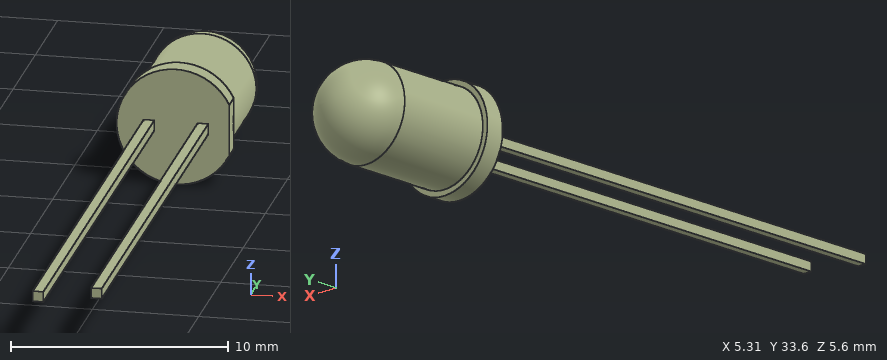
import cadquery as cq


lens_diameter = 5.0
lens_radius = lens_diameter / 2
lens_length = 8.6

flange_diameter = 5.6
flange_radius = flange_diameter / 2
flange_thickness = 1.0
flat_offset = 2.51

lead_width = 0.5
lead_pitch = 2.54
anode_length = 25.0
cathode_length = 24.0

barrel_length = lens_length - flange_thickness - lens_radius
dome_base = flange_thickness + barrel_length


def plane_at(y):
    """Plane across the lens axis at the given Y, with its normal along +Y."""
    return cq.Plane(origin=(0, y, 0), xDir=(1, 0, 0), normal=(0, 1, 0))


def make_flange():
    """Round disc with one flat on the +X side."""
    disc = cq.Workplane(plane_at(0)).circle(flange_radius).extrude(flange_thickness)
    width_to_flat = flange_radius + flat_offset
    keep = (
        cq.Workplane(plane_at(0))
        .center(flat_offset - width_to_flat / 2, 0)
        .rect(width_to_flat, flange_diameter)
        .extrude(flange_thickness)
    )
    return disc.intersect(keep)


def make_barrel():
    """Cylindrical part of the lens, standing on the flange."""
    return cq.Workplane(plane_at(flange_thickness)).circle(lens_radius).extrude(barrel_length)


def make_dome():
    """Half ball that closes the end of the barrel."""
    tip = dome_base + lens_radius
    return (
        cq.Workplane("XY")
        .moveTo(0, dome_base)
        .lineTo(lens_radius, dome_base)
        .radiusArc((0, tip), -lens_radius)
        .close()
        .revolve(360, (0, dome_base, 0), (0, tip, 0))
    )


def make_lead(x, length):
    """Straight square lead running from the base of the flange to -Y."""
    return cq.Workplane(plane_at(0)).center(x, 0).rect(lead_width, lead_width).extrude(-length)


flange = make_flange()
barrel = make_barrel()
dome = make_dome()

lead_layout = [(-lead_pitch / 2, anode_length), (lead_pitch / 2, cathode_length)]
leads = [make_lead(x, length) for x, length in lead_layout]

result = cq.Compound.makeCompound(
    [flange.val(), barrel.val(), dome.val(), *[lead.val() for lead in leads]]
)